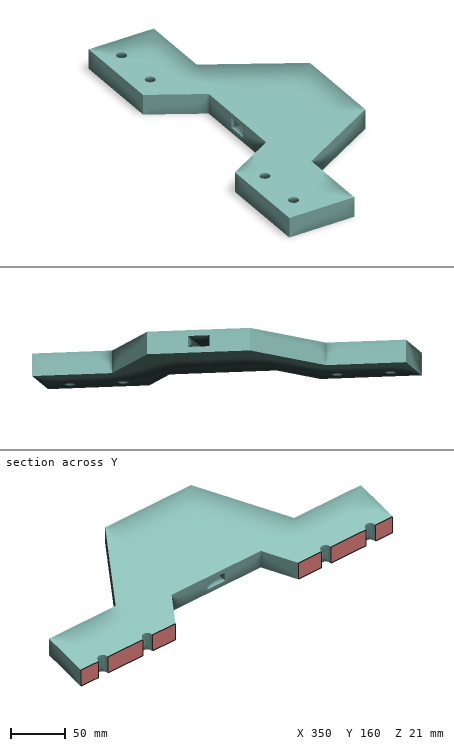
import cadquery as cq
import math

length = 350.0
depth = 160.0
thickness = 21.0

flank_angle = math.radians(60)
arm_depth = 70.0
bridge_base_half_width = 100.0
notch_mouth_half_width = 80.0
notch_top_half_width = 50.0

hole_diameter = 10.0
hole_edge_distance = 20.0
inner_hole_x = bridge_base_half_width
outer_hole_x = 150.0

passage_width = 20.0
passage_height = 10.0

half_length = length / 2
bridge_top_half_width = bridge_base_half_width - (depth - arm_depth) / math.tan(flank_angle)
notch_depth = (notch_mouth_half_width - notch_top_half_width) * math.tan(flank_angle)


def make_plate():
    """Extrude the symmetric outline, with its front edge on the X axis."""
    right_side = [
        (notch_top_half_width, notch_depth),
        (notch_mouth_half_width, 0),
        (half_length, 0),
        (half_length, arm_depth),
        (bridge_base_half_width, arm_depth),
        (bridge_top_half_width, depth),
    ]
    left_side = [(-x, y) for x, y in reversed(right_side)]
    return cq.Workplane("XY").polyline(right_side + left_side).close().extrude(thickness)


def make_holes():
    """Round cutters through the full plate thickness."""
    centers = [(side * x, hole_edge_distance) for side in (-1, 1) for x in (inner_hole_x, outer_hole_x)]
    return cq.Workplane("XY").pushPoints(centers).circle(hole_diameter / 2).extrude(thickness)


def make_passage():
    """Rectangular cutter along Y, centred in the plate thickness."""
    cutter = cq.Workplane("XY").box(passage_width, depth, passage_height)
    return cutter.translate((0, depth / 2, thickness / 2))


result = make_plate().cut(make_holes()).cut(make_passage())